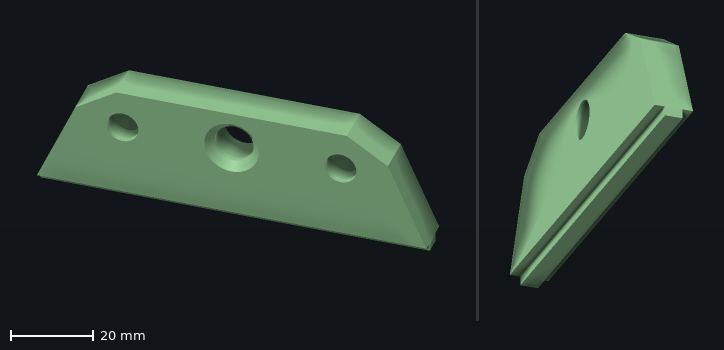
import cadquery as cq

length = 100.0
thickness = 10.0
plate_height = 29.0
shoulder_height = 22.3
shoulder_length = 80.3
top_length = 59.2

tongue_width = 4.6
tongue_depth = 2.4

hole_height = 19.0
bore_diameter = 10.0
countersink_diameter = 14.0
countersink_angle = 90.0
pin_hole_diameter = 8.1
pin_hole_spacing = 56.0
pin_hole_depth = 5.0


def make_plate():
    """Symmetric plate that narrows in two slopes towards its top."""
    right_side = [
        (length / 2, 0),
        (shoulder_length / 2, shoulder_height),
        (top_length / 2, plate_height),
    ]
    left_side = [(-x, z) for x, z in reversed(right_side)]
    outline = cq.Workplane("XZ").polyline(right_side + left_side).close()
    return outline.extrude(thickness / 2, both=True)


def make_tongue():
    """Full-length bar below the plate."""
    return cq.Workplane("XY").rect(length, tongue_width).extrude(-tongue_depth)


def front_face(body):
    """Work plane on the front face, with its origin at the middle of the hole line."""
    return body.faces("<Y").workplane(origin=(0, -thickness / 2, hole_height))


body = make_plate().union(make_tongue())
body = front_face(body).cskHole(bore_diameter, countersink_diameter, countersink_angle)
pin_holes = front_face(body).rarray(pin_hole_spacing, 1, 2, 1)
result = pin_holes.hole(pin_hole_diameter, pin_hole_depth)